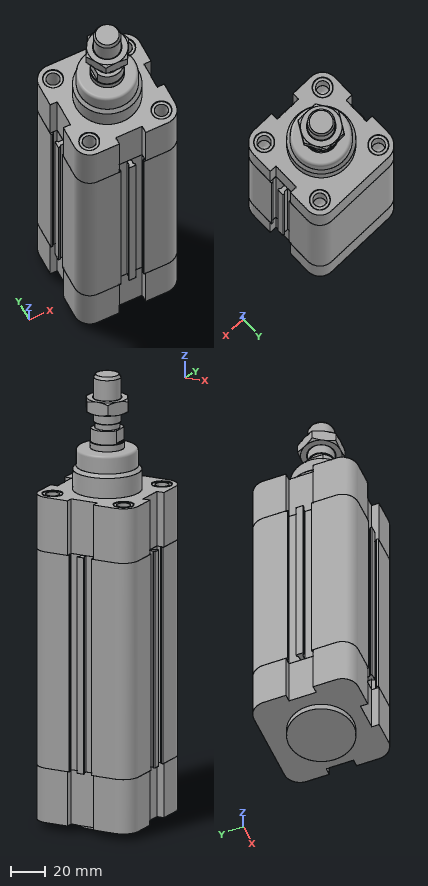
import cadquery as cq
import math

total_height = 269.0
rear_boss_height = 4.0
cap_length = 32.8
barrel_length = 130.2
rear_cap_top = rear_boss_height + cap_length
barrel_top = rear_cap_top + barrel_length
front_cap_top = barrel_top + cap_length

full_turn = 360
axis_start = (0, 0, 0)
axis_end = (0, 1, 0)

body_width = 65.0
half_width = body_width / 2
corner_radius = 10.0
slot_width = 17.0
slot_depth = 4.5
slot_angles = (-90, 0, 90)

slot_mouth_width = 14.8
lip_thickness = 1.0
lip_slope = (slot_width - slot_mouth_width) / 2
rail_head_width = 4.3
rail_stem_width = 2.7
rail_head_thickness = 1.0
rail_slope = (rail_head_width - rail_stem_width) / 2

boss_diameter = 40.0
front_boss_height = 12.0
collar_diameter = 36.0
collar_top = 225.0
collar_fillet = 2.0
boss_taper = (boss_diameter - collar_diameter) / 2

fixing_spacing = 46.5
fixing_recess_diameter = 12.0
fixing_recess_floor_diameter = 11.5
fixing_recess_depth = 0.4
fixing_hole_diameter = 8.0
fixing_hole_depth = 16.1
drill_point_angle = 118.0

rod_diameter = 20.0
wrench_diameter = 19.5
shoulder_height = 228.6
wrench_bottom = 229.5
wrench_top = 237.0
wrench_flats = 17.0
shoulder_chamfer = (rod_diameter - wrench_diameter) / 2
neck_diameter = 14.5
neck_top = 240.5
thread_diameter = 16.0
thread_chamfer_height = 2.0
thread_tip_diameter = 13.7

nut_sides = 6
nut_across_flats = 24.0
nut_bottom = 247.0
nut_thickness = 8.0
nut_face_diameter = nut_across_flats
nut_chamfer_angle = 30.0
nut_countersink_diameter = 17.0


def square_block(bottom, length):
    """Square block with rounded vertical edges."""
    block = cq.Workplane("XY").workplane(offset=bottom).rect(body_width, body_width).extrude(length)
    return block.edges("|Z").fillet(corner_radius)


def cut_side_slots(block, cutter):
    """Cut a slot, given for the -Y side, into each of the slotted sides."""
    for angle in slot_angles:
        block = block.cut(cutter.rotate((0, 0, 0), (0, 0, 1), angle))
    return block


def make_cap(bottom):
    """Cap block with a rectangular slot on each slotted side."""
    slot = (
        cq.Workplane("XY")
        .box(slot_width, slot_depth, cap_length, centered=(True, False, False))
        .translate((0, -half_width, bottom))
    )
    return cut_side_slots(square_block(bottom, cap_length), slot)


def make_rear_cap():
    boss = cq.Workplane("XY").circle(boss_diameter / 2).extrude(rear_boss_height)
    return make_cap(rear_boss_height).union(boss)


def make_front_boss():
    """Stepped, tapered collar around the rod."""
    taper_bottom = front_cap_top + front_boss_height
    return (
        cq.Workplane("XZ")
        .moveTo(0, front_cap_top)
        .lineTo(boss_diameter / 2, front_cap_top)
        .lineTo(boss_diameter / 2, taper_bottom)
        .lineTo(collar_diameter / 2, taper_bottom + boss_taper)
        .lineTo(collar_diameter / 2, collar_top)
        .lineTo(0, collar_top)
        .close()
        .revolve(full_turn, axis_start, axis_end)
        .faces(">Z")
        .edges()
        .fillet(collar_fillet)
    )


def make_fixing_hole():
    """Recessed blind hole with a drill point, opening upwards at Z = 0."""
    hole_radius = fixing_hole_diameter / 2
    point_depth = hole_radius / math.tan(math.radians(drill_point_angle / 2))
    return (
        cq.Workplane("XZ")
        .lineTo(fixing_recess_diameter / 2, 0)
        .lineTo(fixing_recess_floor_diameter / 2, -fixing_recess_depth)
        .lineTo(hole_radius, -fixing_recess_depth)
        .lineTo(hole_radius, -fixing_hole_depth)
        .lineTo(0, -fixing_hole_depth - point_depth)
        .close()
        .revolve(full_turn, axis_start, axis_end)
    )


def make_front_cap():
    cap = make_cap(barrel_top).union(make_front_boss())
    rod_bore = cq.Workplane("XY").circle(rod_diameter / 2).extrude(total_height)
    cap = cap.cut(rod_bore)
    hole = make_fixing_hole()
    for x in (-fixing_spacing / 2, fixing_spacing / 2):
        for y in (-fixing_spacing / 2, fixing_spacing / 2):
            cap = cap.cut(hole.translate((x, y, front_cap_top)))
    return cap


def make_barrel():
    """Barrel block with lipped slots, each holding a T-shaped rail down the middle."""
    lip_inner = lip_thickness + lip_slope
    head_inner = rail_head_thickness + rail_slope

    def half_slot(side):
        profile = [
            (rail_head_width / 2, 0),
            (slot_mouth_width / 2, 0),
            (slot_mouth_width / 2, lip_thickness),
            (slot_width / 2, lip_inner),
            (slot_width / 2, slot_depth),
            (rail_stem_width / 2, slot_depth),
            (rail_stem_width / 2, head_inner),
            (rail_head_width / 2, rail_head_thickness),
        ]
        points = [(side * x, depth - half_width) for x, depth in profile]
        start = cq.Workplane("XY").workplane(offset=rear_cap_top)
        return start.polyline(points).close().extrude(barrel_length)

    barrel = square_block(rear_cap_top, barrel_length)
    for side in (-1, 1):
        barrel = cut_side_slots(barrel, half_slot(side))
    return barrel


def make_rod():
    """Stepped rod with two wrench flats facing -X and +X."""
    wrench_radius = wrench_diameter / 2
    rod = (
        cq.Workplane("XZ")
        .moveTo(0, barrel_top)
        .lineTo(rod_diameter / 2, barrel_top)
        .lineTo(rod_diameter / 2, shoulder_height)
        .lineTo(wrench_radius, shoulder_height + shoulder_chamfer)
        .lineTo(wrench_radius, wrench_top)
        .lineTo(neck_diameter / 2, wrench_top)
        .lineTo(neck_diameter / 2, neck_top)
        .lineTo(thread_diameter / 2, neck_top)
        .lineTo(thread_diameter / 2, total_height - thread_chamfer_height)
        .lineTo(thread_tip_diameter / 2, total_height)
        .lineTo(0, total_height)
        .close()
        .revolve(full_turn, axis_start, axis_end)
    )
    flat_cutter = (
        cq.Workplane("XY")
        .box(rod_diameter, rod_diameter, wrench_top - wrench_bottom, centered=(False, True, False))
        .translate((wrench_flats / 2, 0, wrench_bottom))
    )
    for angle in (0, 180):
        rod = rod.cut(flat_cutter.rotate((0, 0, 0), (0, 0, 1), angle))
    return rod


def make_nut():
    """Hexagonal nut with corners along X, chamfered at both ends."""
    corner_diameter = nut_across_flats / math.cos(math.pi / nut_sides)
    nut_corner_radius = corner_diameter / 2
    chamfer_height = (corner_diameter - nut_face_diameter) / 2 * math.tan(math.radians(nut_chamfer_angle))
    prism = cq.Workplane("XY").polygon(nut_sides, corner_diameter).extrude(nut_thickness)
    envelope = (
        cq.Workplane("XZ")
        .lineTo(nut_face_diameter / 2, 0)
        .lineTo(nut_corner_radius, chamfer_height)
        .lineTo(nut_corner_radius, nut_thickness - chamfer_height)
        .lineTo(nut_face_diameter / 2, nut_thickness)
        .lineTo(0, nut_thickness)
        .close()
        .revolve(full_turn, axis_start, axis_end)
    )
    countersink = (nut_countersink_diameter - thread_diameter) / 2
    thread = cq.Workplane("XY").circle(thread_diameter / 2).extrude(nut_thickness)
    nut = prism.intersect(envelope).cut(thread)
    nut = nut.edges(cq.selectors.RadiusNthSelector(0)).chamfer(countersink)
    return nut.translate((0, 0, nut_bottom))


rear_cap = make_rear_cap()
barrel = make_barrel()
front_cap = make_front_cap()
rod = make_rod()
nut = make_nut()

result = cq.Compound.makeCompound([rear_cap.val(), barrel.val(), front_cap.val(), rod.val(), nut.val()])